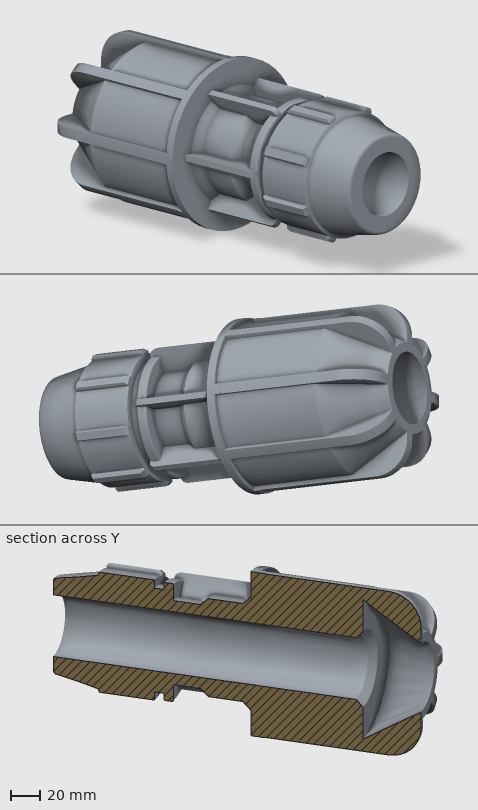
import cadquery as cq
import math


large_cone_end = 42.7
large_flange_start = 119.0
large_flange_end = 125.0
neck_wide_start = 131.0
neck_wide_end = 156.0
neck_narrow_start = 162.0
disc_start = 181.7
disc_end = 189.0
small_nut_start = 195.5
small_nut_chamfer = 236.2
tip_start = 237.3
total_length = 270.0

large_face_radius = 31.5
large_body_radius = 57.2
large_flange_radius = 60.5
neck_root_radius = 41.8
neck_wide_radius = 36.2
neck_narrow_radius = 31.0
disc_radius = 43.5
collar_radius = 38.3
small_body_radius = 44.3
tip_start_radius = 41.8
tip_end_radius = 35.0

mouth_radius = 50.0 / 2
hollow_radius = 51.0
bore_entry_radius = 55.5 / 2
bore_radius = 45.0 / 2
bore_entry_depth = bore_entry_radius - bore_radius

tip_rounding = 2.5
disc_rounding = 1.4

large_rib_count = 8
large_rib_width = 7.3
large_rib_radius = 60.2
large_rib_rounding = 24.0
large_rib_end = 114.8
gap_clearance = 2.7
gap_outer_radius = large_flange_radius + gap_clearance

neck_rib_count = 6
neck_rib_width = 4.3
neck_rib_radius = 48.3
neck_rib_foot_radius = 27.0
neck_rib_rounding = 4.5

small_rib_count = 8
small_rib_foot_half_width = 3.5
small_rib_top_half_width = 2.7
small_rib_shoulder_height = 46.0
small_rib_height = 47.8
small_rib_start_slope = 2.7
small_rib_end_slope = 1.0


def polar_copies(shape, count, first_angle=0.0):
    """Fuse equally spaced copies of a shape around the X axis."""
    copies = cq.Workplane("XY")
    for i in range(count):
        angle = first_angle + 360.0 * i / count
        copies = copies.add(shape.rotate((0, 0, 0), (1, 0, 0), angle))
    return copies.combine()


def revolved_body():
    """Solid of revolution with every round section and the outline of the large ribs."""
    rib_corner_start = large_rib_radius - large_rib_rounding
    arc_inset = large_rib_rounding * (1 - math.sqrt(0.5))
    return (
        cq.Workplane("XY")
        .moveTo(0, 0)
        .lineTo(0, rib_corner_start)
        .threePointArc(
            (arc_inset, large_rib_radius - arc_inset),
            (large_rib_rounding, large_rib_radius),
        )
        .lineTo(large_rib_end, large_rib_radius)
        .lineTo(large_rib_end, large_flange_radius)
        .lineTo(large_flange_end, large_flange_radius)
        .lineTo(large_flange_end, neck_root_radius)
        .lineTo(neck_wide_start, neck_wide_radius)
        .lineTo(neck_wide_end, neck_wide_radius)
        .lineTo(neck_narrow_start, neck_narrow_radius)
        .lineTo(disc_end, neck_narrow_radius)
        .lineTo(disc_end, collar_radius)
        .lineTo(small_nut_start, collar_radius)
        .lineTo(small_nut_start, small_body_radius)
        .lineTo(small_nut_chamfer, small_body_radius)
        .lineTo(tip_start, tip_start_radius)
        .lineTo(total_length, tip_end_radius)
        .lineTo(total_length, 0)
        .close()
        .revolve(360, (0, 0, 0), (1, 0, 0))
        .faces(">X")
        .edges()
        .fillet(tip_rounding)
    )


def neck_disc():
    """Disc with rounded rims at the end of the neck."""
    return (
        cq.Workplane("YZ", origin=(disc_start, 0, 0))
        .circle(disc_radius)
        .extrude(disc_end - disc_start)
        .edges()
        .fillet(disc_rounding)
    )


def large_rib_gaps():
    """Material between the ribs of the large nut, outside its cone and cylinder."""
    ring = (
        cq.Workplane("XY")
        .moveTo(0, large_face_radius)
        .lineTo(large_cone_end, large_body_radius)
        .lineTo(large_flange_start, large_body_radius)
        .lineTo(large_flange_start, gap_outer_radius)
        .lineTo(0, gap_outer_radius)
        .close()
        .revolve(360, (0, 0, 0), (1, 0, 0))
    )
    slab = cq.Workplane("XY").box(
        large_flange_start, gap_outer_radius, large_rib_width, centered=(False, False, True)
    )
    return ring.cut(polar_copies(slab, large_rib_count))


def neck_ribs():
    """Thin ribs from the large flange to the far side of the disc."""
    length = disc_end - large_flange_end
    height = neck_rib_radius - neck_rib_foot_radius
    rib = (
        cq.Workplane("XY", origin=(large_flange_end, neck_rib_foot_radius, 0))
        .rect(length, height, centered=False)
        .extrude(neck_rib_width / 2, both=True)
        .edges("|Z and >X and >Y")
        .fillet(neck_rib_rounding)
    )
    return polar_copies(rib, neck_rib_count)


def small_nut_ribs():
    """Straight-footed ribs whose tops are bevelled on all four sides."""
    section = (
        cq.Workplane("YZ", origin=(small_nut_start, 0, 0))
        .moveTo(-small_rib_foot_half_width, collar_radius)
        .lineTo(-small_rib_foot_half_width, small_rib_shoulder_height)
        .lineTo(-small_rib_top_half_width, small_rib_height)
        .lineTo(small_rib_top_half_width, small_rib_height)
        .lineTo(small_rib_foot_half_width, small_rib_shoulder_height)
        .lineTo(small_rib_foot_half_width, collar_radius)
        .close()
        .extrude(small_nut_chamfer - small_nut_start)
    )
    side = (
        cq.Workplane("XZ")
        .moveTo(small_nut_start, collar_radius)
        .lineTo(small_nut_start, small_rib_shoulder_height)
        .lineTo(small_nut_start + small_rib_start_slope, small_rib_height)
        .lineTo(small_nut_chamfer - small_rib_end_slope, small_rib_height)
        .lineTo(small_nut_chamfer, small_rib_shoulder_height)
        .lineTo(small_nut_chamfer, collar_radius)
        .close()
        .extrude(small_rib_foot_half_width, both=True)
    )
    half_pitch = 180.0 / small_rib_count
    return polar_copies(section.intersect(side), small_rib_count, half_pitch)


def bore():
    """Conical hollow of the large nut, then a through bore with a chamfered entry."""
    return (
        cq.Workplane("XY")
        .moveTo(0, 0)
        .lineTo(0, mouth_radius)
        .lineTo(large_cone_end, hollow_radius)
        .lineTo(large_cone_end, bore_entry_radius)
        .lineTo(large_cone_end + bore_entry_depth, bore_radius)
        .lineTo(total_length, bore_radius)
        .lineTo(total_length, 0)
        .close()
        .revolve(360, (0, 0, 0), (1, 0, 0))
    )


result = (
    revolved_body()
    .cut(large_rib_gaps())
    .union(neck_disc())
    .union(neck_ribs())
    .union(small_nut_ribs())
    .cut(bore())
)